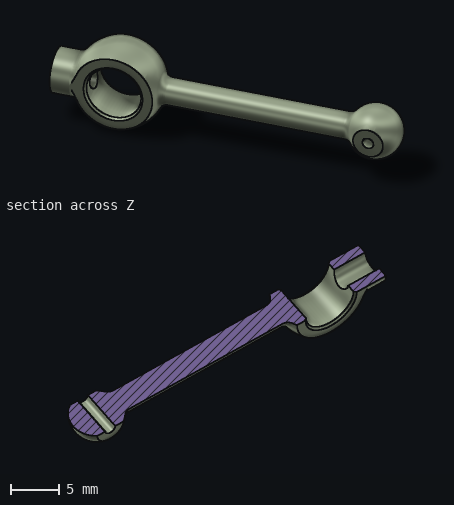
import cadquery as cq
import math

length = 38.0
width = 5.0

eye_radius = 10.0 / 2
bore_diameter = 6.0
bore_chamfer = 0.25

stub_length = 7.0
stub_radius = width / 2
stub_hole_diameter = 2.5

rod_radius = 3.0 / 2
ball_radius = 6.0 / 2
ball_x = length - stub_length - ball_radius
pin_hole_diameter = 1.2

neck_fillet = 1.0


def neck_points(centre_x, sphere_radius, shaft_radius, side):
    """Shaft tangency, fillet midpoint and sphere tangency; side is the X direction of the shaft."""
    reach = sphere_radius + neck_fillet
    rise = shaft_radius + neck_fillet
    run = math.sqrt(reach**2 - rise**2)
    sphere_share = sphere_radius / reach
    on_shaft = (centre_x + side * run, shaft_radius)
    on_sphere = (centre_x + side * run * sphere_share, rise * sphere_share)

    half_sweep = math.atan2(run, rise) / 2
    middle = (
        centre_x + side * (run - neck_fillet * math.sin(half_sweep)),
        rise - neck_fillet * math.cos(half_sweep),
    )
    return on_shaft, middle, on_sphere


def turned_body():
    """Stub, eye sphere, rod and end ball revolved about X."""
    stub_shaft, stub_middle, eye_start = neck_points(0, eye_radius, stub_radius, -1)
    eye_shaft, eye_middle, eye_end = neck_points(0, eye_radius, rod_radius, 1)
    ball_shaft, ball_middle, ball_start = neck_points(ball_x, ball_radius, rod_radius, -1)
    profile = (
        cq.Workplane("XY")
        .moveTo(-stub_length, 0)
        .lineTo(-stub_length, stub_radius)
        .lineTo(*stub_shaft)
        .threePointArc(stub_middle, eye_start)
        .threePointArc((0, eye_radius), eye_end)
        .threePointArc(eye_middle, eye_shaft)
        .lineTo(*ball_shaft)
        .threePointArc(ball_middle, ball_start)
        .threePointArc((ball_x, ball_radius), (ball_x + ball_radius, 0))
        .close()
    )
    return profile.revolve(360, (0, 0, 0), (1, 0, 0))


def cross_hole(x, diameter):
    """Cutter along Y through the full width."""
    return cq.Workplane("XZ").center(x, 0).circle(diameter / 2).extrude(width / 2, both=True)


def eye_bore():
    """Bore cutter that widens at both faces to form the chamfers."""
    radius = bore_diameter / 2
    mouth_radius = radius + bore_chamfer
    face_y = width / 2
    chamfer_y = face_y - bore_chamfer
    profile = cq.Workplane("XY").polyline([
        (0, -face_y),
        (mouth_radius, -face_y),
        (radius, -chamfer_y),
        (radius, chamfer_y),
        (mouth_radius, face_y),
        (0, face_y),
    ]).close()
    return profile.revolve(360, (0, 0, 0), (0, 1, 0))


def stub_hole():
    """Cutter along X from the stub end into the eye bore."""
    return cq.Workplane("YZ", origin=(-stub_length, 0, 0)).circle(stub_hole_diameter / 2).extrude(stub_length)


flat_slab = cq.Workplane("XY").box(2 * length, width, 2 * eye_radius + width)
result = turned_body().intersect(flat_slab)
result = result.cut(eye_bore()).cut(stub_hole()).cut(cross_hole(ball_x, pin_hole_diameter))